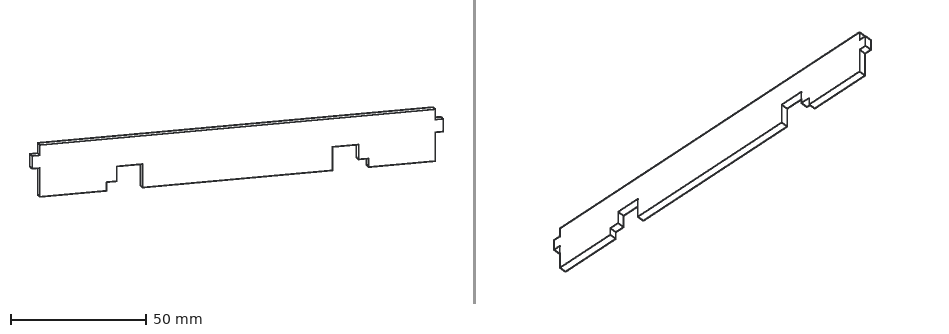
import cadquery as cq

overall_length = 159.0
height = 20.0
thickness = 3.0

tab_length = 3.0
tab_height = 5.0
tab_drop = 4.0

notch_inner = 36.7
notch_width = 10.0
notch_depth = 9.0
step_width = 4.0
step_depth = 3.3

body_length = overall_length - 2 * tab_length


def block(y_start, y_end, z_start, z_end):
    """Full-thickness block spanning the given Y and Z ranges."""
    return cq.Workplane("XY").box(
        thickness, y_end - y_start, z_end - z_start, centered=(True, False, False)
    ).translate((0, y_start, z_start))


def both_ends(shape):
    """The shape together with its mirror image across the middle."""
    return shape.union(shape.mirror("XZ"))


def end_tab():
    tab_top = height - tab_drop
    return block(0, overall_length / 2, tab_top - tab_height, tab_top)


def stepped_notch():
    notch_outer = notch_inner + notch_width
    deep_part = block(notch_inner, notch_outer, 0, notch_depth)
    shallow_part = block(notch_inner, notch_outer + step_width, 0, step_depth)
    return deep_part.union(shallow_part)


body = block(-body_length / 2, body_length / 2, 0, height)
result = body.union(both_ends(end_tab())).cut(both_ends(stepped_notch()))